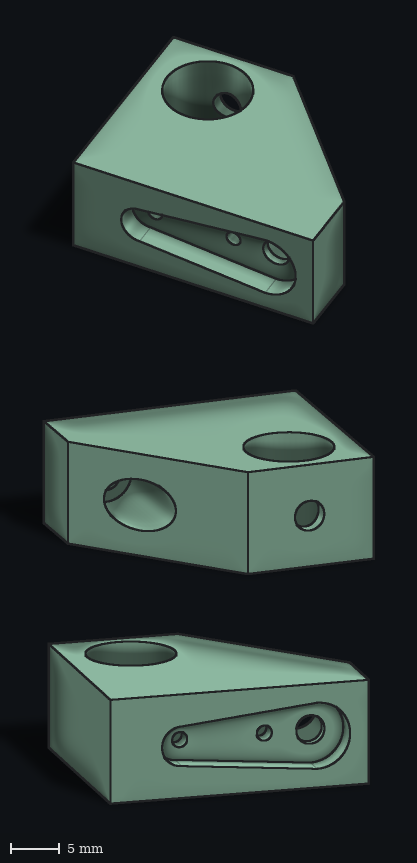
import cadquery as cq

length = 27.5
width = 22.5
height = 11.0
back_edge_length = length / 2
right_edge_width = 7.0
mid_height = height / 2

bore_diameter = 9.3
bore_x = 7.0
bore_y = 16.5

pocket_depth = 2.5
hub_x = 22.0
hub_radius = 3.5
tip_x = 7.6
tip_radius = 2.1

hub_hole_diameter = 3.0
head_diameter = 5.5
seat_thickness = 1.0
head_seat_y = pocket_depth + seat_thickness
pin_diameter = 1.6
pin_depth = 2.0
pin_positions_x = (8.1, 17.1)

screw_hole_diameter = 3.2


def make_block():
    outline = [
        (0, 0),
        (length, 0),
        (length, right_edge_width),
        (back_edge_length, width),
        (0, width),
    ]
    return cq.Workplane("XY").polyline(outline).close().extrude(height)


def make_bore():
    return cq.Workplane("XY").center(bore_x, bore_y).circle(bore_diameter / 2).extrude(height)


def make_y_cylinder(x, diameter, start_y, end_y):
    """Cylinder at mid height whose axis runs along Y."""
    base = cq.Workplane("XZ", origin=(x, start_y, mid_height))
    return base.circle(diameter / 2).extrude(start_y - end_y)


def make_pocket():
    """Two half-round ends joined by straight tapering sides."""
    return (
        cq.Workplane("XZ", origin=(0, 0, mid_height))
        .moveTo(tip_x, tip_radius)
        .lineTo(hub_x, hub_radius)
        .threePointArc((hub_x + hub_radius, 0), (hub_x, -hub_radius))
        .lineTo(tip_x, -tip_radius)
        .threePointArc((tip_x - tip_radius, 0), (tip_x, tip_radius))
        .close()
        .extrude(-pocket_depth)
    )


def make_hub_hole():
    """Through hole at the hub, with a wider head clearance open to the sloping side."""
    through_hole = make_y_cylinder(hub_x, hub_hole_diameter, 0, width)
    return through_hole.union(make_y_cylinder(hub_x, head_diameter, head_seat_y, width))


def make_pin_hole(pin_x):
    return make_y_cylinder(pin_x, pin_diameter, 0, pocket_depth + pin_depth)


def make_screw_hole():
    return make_y_cylinder(bore_x, screw_hole_diameter, bore_y, width)


result = make_block().cut(make_bore()).cut(make_pocket()).cut(make_hub_hole())
for pin_x in pin_positions_x:
    result = result.cut(make_pin_hole(pin_x))
result = result.cut(make_screw_hole())